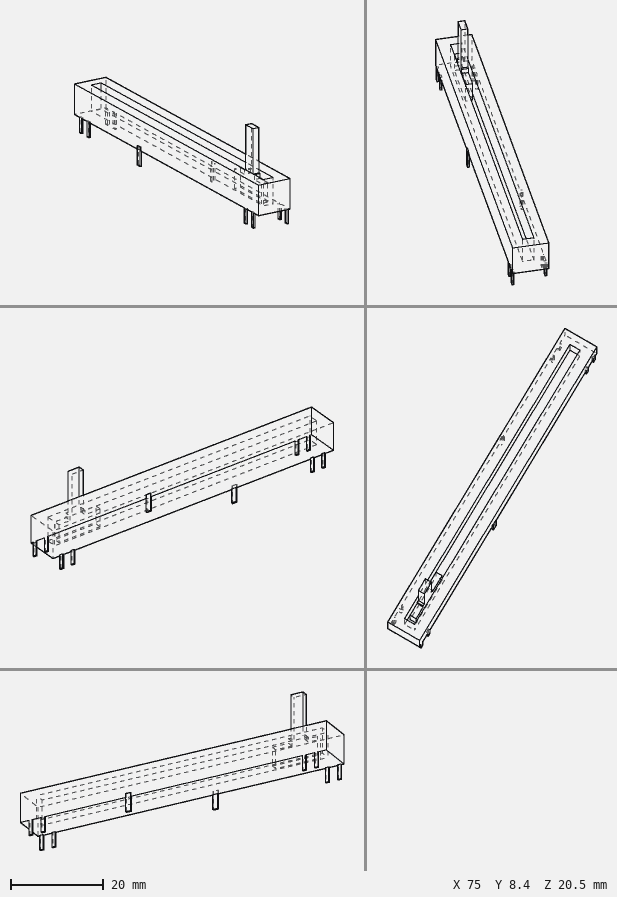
import cadquery as cq


body_length = 75.0
body_width = 8.0
body_height = 7.0
slot_length = 70.0
slot_width = 2.5
floor_thickness = 1.0

slider_thickness = 1.5
carriage_center_x = 28.0
carriage_length = 11.0
carriage_recess = 1.5
lever_center_x = 28.5
collar_length = 4.0
collar_recess = 0.4
lever_length = 3.0
lever_height = 10.0

sheet_thickness = 0.4
leg_drop = 3.5
pin_width = 0.8
front_pin_xs = (-35.0, -32.0, 32.0, 35.0)
rear_pin_xs = (-36.5, -33.5, 33.5, 36.5)
overall_width = 8.4
tab_width = 1.2
tab_rise = 0.9
tab_bend_radius = 0.1
front_tab_x = -11.0
rear_tab_x = 6.0

FRONT = -1
REAR = 1


def block(length, width, bottom, top, x=0.0, y=0.0):
    """Box centred on (x, y) that spans bottom to top in Z."""
    base = cq.Workplane("XY", origin=(x, y, bottom))
    return base.box(length, width, top - bottom, centered=(True, True, False))


def make_housing():
    housing = block(body_length, body_width, 0, body_height)
    slot = block(slot_length, slot_width, floor_thickness, body_height)
    return housing.cut(slot)


def slider_block(length, top, x):
    """Part of the slider that rises from the slot floor to the given height."""
    return block(length, slider_thickness, floor_thickness, top, x)


def make_slider():
    """Carriage on the slot floor, with a short collar and the lever above it."""
    carriage = slider_block(carriage_length, body_height - carriage_recess, carriage_center_x)
    collar = slider_block(collar_length, body_height - collar_recess, lever_center_x)
    lever = slider_block(lever_length, body_height + lever_height, lever_center_x)
    return carriage.union(collar).union(lever)


def make_pin(x, side):
    """Terminal pin below the housing, flush with its long side."""
    y = side * (body_width - sheet_thickness) / 2
    return block(pin_width, sheet_thickness, -leg_drop, 0, x, y)


def make_tab(x, side):
    """Mounting tab that stands proud of the long side, with a rounded top outer edge."""
    y = side * (overall_width - sheet_thickness) / 2
    tab = block(tab_width, sheet_thickness, -leg_drop, tab_rise, x, y)
    outer_face = ">Y" if side == REAR else "<Y"
    return tab.faces(outer_face).edges(">Z").fillet(tab_bend_radius)


result = make_housing().union(make_slider())
for side, pin_xs, tab_x in (
    (FRONT, front_pin_xs, front_tab_x),
    (REAR, rear_pin_xs, rear_tab_x),
):
    for pin_x in pin_xs:
        result = result.union(make_pin(pin_x, side))
    result = result.union(make_tab(tab_x, side))